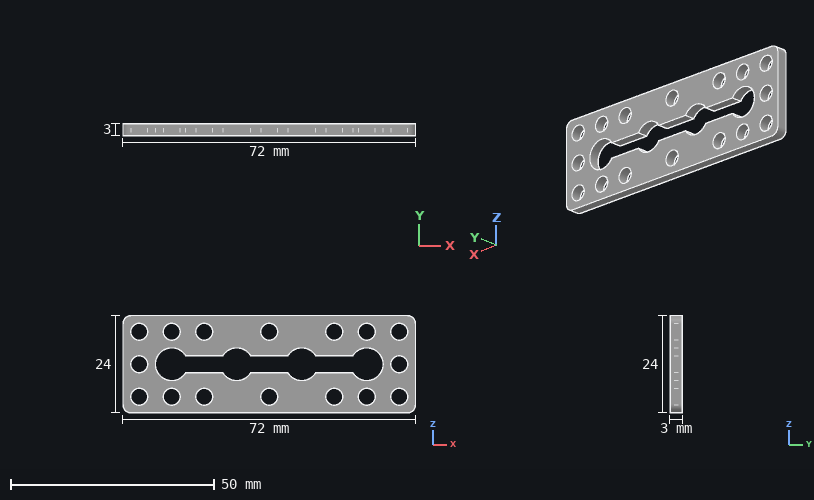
import cadquery as cq

length = 72.0
pitch = length / 9
height = 3 * pitch
thickness = 3 * pitch / 8
corner_radius = pitch / 4

hole_diameter = 4.1
slot_width = 4.1
lobe_diameter = pitch
lobe_columns = (-3, -1, 1, 3)

outer_row_columns = (-4, -3, -2, 0, 2, 3, 4)
middle_row_columns = (-4, 4)


def front_plane():
    """Sketch plane at mid-thickness, with X across and Z up."""
    return cq.Workplane("XZ")


def through_cylinders(points, diameter):
    return front_plane().pushPoints(points).circle(diameter / 2).extrude(thickness, both=True)


def make_plate():
    plate = front_plane().rect(length, height).extrude(thickness / 2, both=True)
    return plate.edges("|Y").fillet(corner_radius)


def make_lobed_slot():
    """Straight slot joining a row of round lobes."""
    slot_length = (lobe_columns[-1] - lobe_columns[0]) * pitch
    slot = front_plane().rect(slot_length, slot_width).extrude(thickness, both=True)
    lobe_centres = [(column * pitch, 0) for column in lobe_columns]
    return slot.union(through_cylinders(lobe_centres, lobe_diameter))


def make_small_holes():
    centres = [(column * pitch, row * pitch) for row in (-1, 1) for column in outer_row_columns]
    centres += [(column * pitch, 0) for column in middle_row_columns]
    return through_cylinders(centres, hole_diameter)


result = make_plate().cut(make_lobed_slot()).cut(make_small_holes())